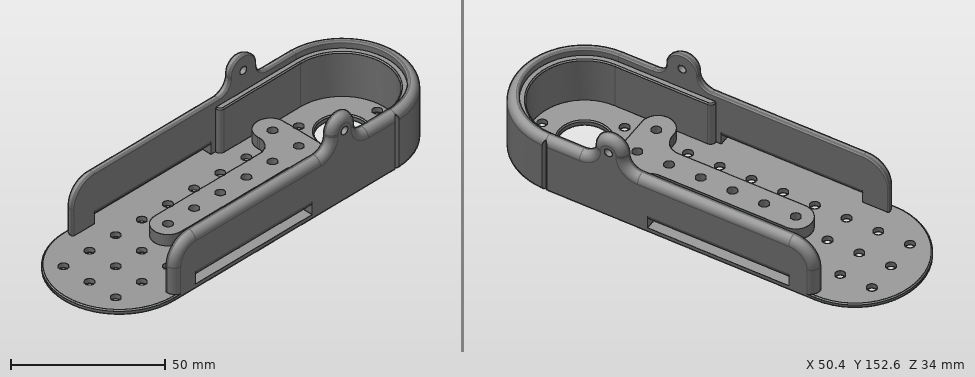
import cadquery as cq
import math

LENGTH = 152.6
WIDTH = 50.4
HEIGHT = 34.0
OUTER_RADIUS = WIDTH / 2
END_CENTER_Y = LENGTH / 2 - OUTER_RADIUS

PLATE_THICKNESS = 2.0
EDGE_CHAMFER = 0.5

WALL_THICKNESS = 4.0
WALL_TOP_Z = 22.5
WALL_INNER_RADIUS = OUTER_RADIUS - WALL_THICKNESS
WALL_OPEN_END_Y = -END_CENTER_Y
WALL_CORNER_RADIUS = 9.9
OUTER_ROUND = 3.0
INNER_ROUND = 0.5

EAR_Y = 27.0
EAR_RADIUS = 6.0
EAR_BLEND_RADIUS = 5.0
EAR_CENTER_Z = HEIGHT - EAR_RADIUS
EAR_HOLE_DIAMETER = 3.0

GROOVE_DEPTH = 0.9

LINER_INNER_RADIUS = 19.0
LINER_OUTER_RADIUS = OUTER_RADIUS - WALL_THICKNESS / 2
LINER_TOP_Z = 19.8
LINER_END_Y = 14.2
LINER_END_ROUND = 1.8

SLOT_REAR_Y = 12.2
SLOT_FRONT_Y = -41.2
SLOT_TOP_Z = 5.0
SLOT_ROUND = WALL_THICKNESS / 2

HOLE_DIAMETER = 3.5
SIDE_HOLE_ROWS = 10
FIRST_SIDE_ROW_Y = 43.2
LAST_SIDE_ROW_Y = -64.7
HOLE_PITCH = (FIRST_SIDE_ROW_Y - LAST_SIDE_ROW_Y) / (SIDE_HOLE_ROWS - 1)
REAR_HOLE_Y = FIRST_SIDE_ROW_Y + 2 * HOLE_PITCH
BIG_HOLE_DIAMETER = 18.5

BAR_ROW_Y = FIRST_SIDE_ROW_Y - HOLE_PITCH
PAD_TOP_Z = 6.5
PAD_RADIUS = HOLE_PITCH / 2
PAD_ARM_CENTER_X = 13.0
PAD_STEM_ROWS = 5
PAD_STEM_END_Y = BAR_ROW_Y - PAD_STEM_ROWS * HOLE_PITCH

TOLERANCE = 0.02


def u_plan(radius, open_end_y):
    """U-shaped outline, round at +Y and cut straight at open_end_y."""
    return (
        cq.Workplane("XY")
        .moveTo(-radius, open_end_y)
        .lineTo(-radius, END_CENTER_Y)
        .threePointArc((0, END_CENTER_Y + radius), (radius, END_CENTER_Y))
        .lineTo(radius, open_end_y)
        .close()
    )


def make_plate():
    plate = cq.Workplane("XY").slot2D(LENGTH, WIDTH, 90).extrude(PLATE_THICKNESS)
    return plate.faces("<Z or >Z").edges().chamfer(EDGE_CHAMFER)


def wall_side_profile():
    """Side outline of the wall in the YZ plane, ear included."""
    diagonal = math.sqrt(0.5)
    blend_center_z = WALL_TOP_Z + EAR_BLEND_RADIUS
    blend_offset = EAR_RADIUS + EAR_BLEND_RADIUS
    blend_mid_offset = blend_offset - EAR_BLEND_RADIUS * diagonal
    blend_mid_z = blend_center_z - EAR_BLEND_RADIUS * diagonal
    corner_y = WALL_OPEN_END_Y + WALL_CORNER_RADIUS
    corner_z = WALL_TOP_Z - WALL_CORNER_RADIUS
    return (
        cq.Workplane("YZ")
        .moveTo(WALL_OPEN_END_Y, EDGE_CHAMFER)
        .lineTo(WALL_OPEN_END_Y, corner_z)
        .threePointArc(
            (corner_y - WALL_CORNER_RADIUS * diagonal, corner_z + WALL_CORNER_RADIUS * diagonal),
            (corner_y, WALL_TOP_Z),
        )
        .lineTo(EAR_Y - blend_offset, WALL_TOP_Z)
        .threePointArc((EAR_Y - blend_mid_offset, blend_mid_z), (EAR_Y - EAR_RADIUS, blend_center_z))
        .lineTo(EAR_Y - EAR_RADIUS, EAR_CENTER_Z)
        .threePointArc((EAR_Y, HEIGHT), (EAR_Y + EAR_RADIUS, EAR_CENTER_Z))
        .lineTo(EAR_Y + EAR_RADIUS, blend_center_z)
        .threePointArc((EAR_Y + blend_mid_offset, blend_mid_z), (EAR_Y + blend_offset, WALL_TOP_Z))
        .lineTo(LENGTH / 2, WALL_TOP_Z)
        .lineTo(LENGTH / 2, EDGE_CHAMFER)
        .close()
    )


def axis_distance(point):
    """Horizontal distance to the centre line of the U-shaped outlines."""
    return math.hypot(point.x, max(0, point.y - END_CENTER_Y))


def is_rim_edge(edge, radius):
    """True for the top and open-end edges of the wall face at this radius."""
    ends = [edge.startPoint(), edge.endPoint()]
    on_face = all(abs(axis_distance(p) - radius) < TOLERANCE for p in ends)
    at_bottom = all(p.z < EDGE_CHAMFER + TOLERANCE for p in ends)
    at_tangent_seam = all(abs(p.y - END_CENTER_Y) < TOLERANCE for p in ends) and (
        abs(ends[0].x - ends[1].x) < TOLERANCE
    )
    return on_face and not at_bottom and not at_tangent_seam


def make_wall():
    outer = u_plan(OUTER_RADIUS, WALL_OPEN_END_Y).extrude(HEIGHT)
    inner = u_plan(WALL_INNER_RADIUS, WALL_OPEN_END_Y).extrude(HEIGHT)
    side = wall_side_profile().extrude(WIDTH / 2, both=True)
    wall = outer.cut(inner).intersect(side)
    wall = wall.edges().filter(lambda edge: is_rim_edge(edge, OUTER_RADIUS)).fillet(OUTER_ROUND)
    return wall.edges().filter(lambda edge: is_rim_edge(edge, WALL_INNER_RADIUS)).fillet(INNER_ROUND)


def is_liner_top_edge(edge):
    """True for liner top edges that do not run along its outer face."""
    ends = [edge.startPoint(), edge.endPoint()]
    at_top = all(abs(p.z - LINER_TOP_Z) < TOLERANCE for p in ends)
    return at_top and any(axis_distance(p) < LINER_OUTER_RADIUS - TOLERANCE for p in ends)


def make_liner():
    """Inner lining whose free ends are rounded on the inside."""
    liner = (
        u_plan(LINER_OUTER_RADIUS, LINER_END_Y)
        .extrude(LINER_TOP_Z)
        .cut(u_plan(LINER_INNER_RADIUS, LINER_END_Y).extrude(LINER_TOP_Z))
    )
    inner_end_edges = cq.selectors.BoxSelector(
        (-LINER_INNER_RADIUS - TOLERANCE, LINER_END_Y - TOLERANCE, 0),
        (LINER_INNER_RADIUS + TOLERANCE, LINER_END_Y + TOLERANCE, LINER_TOP_Z),
    )
    liner = liner.edges("|Z").edges(inner_end_edges).fillet(LINER_END_ROUND)
    return liner.edges().filter(is_liner_top_edge).chamfer(EDGE_CHAMFER)


def make_pad():
    """T-shaped pad with round ends and round inner corners."""
    bar = (
        cq.Workplane("XY")
        .center(0, BAR_ROW_Y)
        .slot2D(2 * (PAD_ARM_CENTER_X + PAD_RADIUS), 2 * PAD_RADIUS)
        .extrude(PAD_TOP_Z)
    )
    stem_length = BAR_ROW_Y - PAD_STEM_END_Y
    stem = (
        cq.Workplane("XY")
        .center(0, (BAR_ROW_Y + PAD_STEM_END_Y) / 2)
        .slot2D(stem_length + 2 * PAD_RADIUS, 2 * PAD_RADIUS, 90)
        .extrude(PAD_TOP_Z)
    )
    corner_y = BAR_ROW_Y - PAD_RADIUS
    corner_edges = cq.selectors.BoxSelector(
        (-PAD_RADIUS - TOLERANCE, corner_y - TOLERANCE, 0),
        (PAD_RADIUS + TOLERANCE, corner_y + TOLERANCE, PAD_TOP_Z),
    )
    return bar.union(stem).edges("|Z").edges(corner_edges).fillet(PAD_RADIUS)


def groove_cutter():
    """Square bars on edge, cutting a V into each outer side."""
    return (
        cq.Workplane("XY")
        .pushPoints([(-OUTER_RADIUS, END_CENTER_Y), (OUTER_RADIUS, END_CENTER_Y)])
        .polygon(4, 2 * GROOVE_DEPTH)
        .extrude(WALL_TOP_Z)
    )


def slot_cutter():
    """Slot through both side walls, leaving a half-round wall edge above it."""
    shoulder_z = SLOT_TOP_Z + SLOT_ROUND
    wall_middle_x = OUTER_RADIUS - SLOT_ROUND
    right_half = (
        cq.Workplane("XZ", origin=(0, SLOT_REAR_Y, 0))
        .moveTo(WALL_INNER_RADIUS, PLATE_THICKNESS)
        .lineTo(OUTER_RADIUS, PLATE_THICKNESS)
        .lineTo(OUTER_RADIUS, shoulder_z)
        .threePointArc((wall_middle_x, SLOT_TOP_Z), (WALL_INNER_RADIUS, shoulder_z))
        .close()
        .extrude(SLOT_REAR_Y - SLOT_FRONT_Y)
    )
    return right_half.union(right_half.mirror("YZ"))


def small_hole_points():
    """Two full side columns, and a centre column interrupted by the big hole."""
    points = [(0, REAR_HOLE_Y)]
    for row in range(SIDE_HOLE_ROWS):
        y = FIRST_SIDE_ROW_Y - row * HOLE_PITCH
        points += [(-HOLE_PITCH, y), (HOLE_PITCH, y)]
        if row > 0:
            points.append((0, y))
    return points


def small_hole_cutter():
    return (
        cq.Workplane("XY").pushPoints(small_hole_points()).circle(HOLE_DIAMETER / 2).extrude(PAD_TOP_Z)
    )


def big_hole_cutter():
    """Large hole with a chamfered upper rim."""
    radius = BIG_HOLE_DIAMETER / 2
    hole = cq.Workplane("XY").center(0, END_CENTER_Y).circle(radius).extrude(PLATE_THICKNESS)
    rim = cq.Workplane("XY").add(
        cq.Solid.makeCone(
            radius,
            radius + EDGE_CHAMFER,
            EDGE_CHAMFER,
            pnt=cq.Vector(0, END_CENTER_Y, PLATE_THICKNESS - EDGE_CHAMFER),
        )
    )
    return hole.union(rim)


def ear_hole_cutter():
    return (
        cq.Workplane("YZ")
        .center(EAR_Y, EAR_CENTER_Z)
        .circle(EAR_HOLE_DIAMETER / 2)
        .extrude(WIDTH / 2, both=True)
    )


body = make_plate().union(make_wall()).union(make_liner()).union(make_pad())
result = (
    body.cut(groove_cutter())
    .cut(slot_cutter())
    .cut(small_hole_cutter())
    .cut(big_hole_cutter())
    .cut(ear_hole_cutter())
)